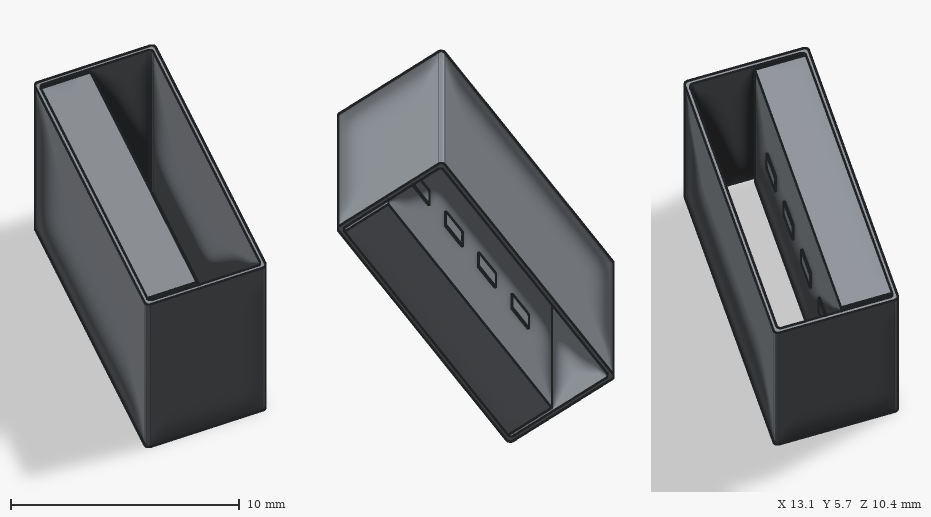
import cadquery as cq

sleeve_length = 13.1
sleeve_depth = 5.7
sleeve_height = 10.4
wall = 0.2
outer_radius = 0.2
inner_radius = 0.17

block_length = 12.37
block_depth = 2.35
block_height = sleeve_height
block_front_y = -sleeve_depth / 2 + wall
block_back_y = block_front_y + block_depth

pad_count = 4
pad_pitch = 2.5
pad_size = 1.26
pad_thickness = 0.05


def make_sleeve():
    """Thin-walled tube with rounded vertical corners inside and out."""
    outside = (
        cq.Workplane("XY")
        .rect(sleeve_length, sleeve_depth)
        .extrude(sleeve_height)
        .edges("|Z")
        .fillet(outer_radius)
    )
    opening = (
        cq.Workplane("XY")
        .rect(sleeve_length - 2 * wall, sleeve_depth - 2 * wall)
        .extrude(sleeve_height)
        .edges("|Z")
        .fillet(inner_radius)
    )
    return outside.cut(opening)


def make_block():
    """Plain block, centred on X and flush with both ends of the sleeve."""
    return cq.Workplane("XY").box(block_length, block_depth, block_height).translate(
        (0, block_front_y + block_depth / 2, sleeve_height / 2)
    )


def make_pad(center_x):
    """One plate resting on the block's +Y face at mid height."""
    return cq.Workplane("XY").box(pad_size, pad_thickness, pad_size).translate(
        (center_x, block_back_y + pad_thickness / 2, sleeve_height / 2)
    )


sleeve = make_sleeve()
block = make_block()

pads = []
for index in range(pad_count):
    pad_x = (index - (pad_count - 1) / 2) * pad_pitch
    pads.append(make_pad(pad_x).val())

result = cq.Compound.makeCompound([sleeve.val(), block.val(), *pads])